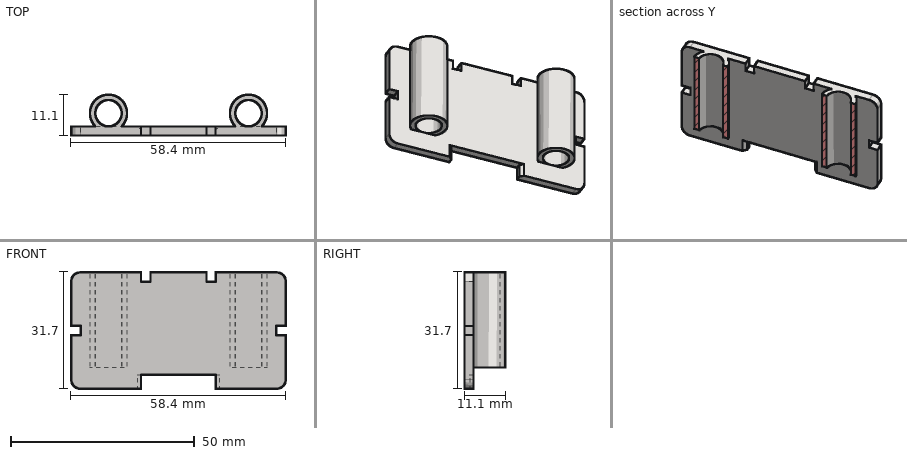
import cadquery as cq

plate_width = 58.4
plate_height = 31.7
plate_thickness = 2.5
corner_radius = 2.5

notch_width = 2.5
notch_depth = 2.55
top_notch_spacing = 17.75
bottom_cutout_width = top_notch_spacing + notch_width
bottom_cutout_depth = 3.8
cutout_chamfer = 1.0

tube_outer_diameter = 10.15
tube_bore_diameter = 7.1
tube_length = 25.95
tube_spacing = 38.1
tube_center_y = plate_thickness + tube_bore_diameter / 2

half_width = plate_width / 2
half_height = plate_height / 2


def edge_cutter(width, height, x, z):
    """Box through the plate thickness, centred at (x, z)."""
    return cq.Workplane("XY").box(width, plate_thickness, height).translate((x, plate_thickness / 2, z))


def make_cutout_relief(side):
    """45 degree bevel on the rear vertical edge of one side wall of the bottom cutout."""
    wall_x = side * bottom_cutout_width / 2
    return (
        cq.Workplane("XY", origin=(0, 0, -half_height))
        .moveTo(wall_x, plate_thickness - cutout_chamfer)
        .lineTo(wall_x + side * cutout_chamfer, plate_thickness)
        .lineTo(wall_x, plate_thickness)
        .close()
        .extrude(bottom_cutout_depth)
    )


def make_plate():
    plate = edge_cutter(plate_width, plate_height, 0, 0).edges("|Y").fillet(corner_radius)
    for side in (-1, 1):
        plate = plate.cut(edge_cutter(2 * notch_depth, notch_width, side * half_width, 0))
        plate = plate.cut(
            edge_cutter(notch_width, 2 * notch_depth, side * top_notch_spacing / 2, half_height)
        )
    plate = plate.cut(edge_cutter(bottom_cutout_width, 2 * bottom_cutout_depth, 0, -half_height))
    return plate.cut(make_cutout_relief(1)).cut(make_cutout_relief(-1))


def make_tube(x):
    """Vertical tube whose bore is tangent to the back of the plate."""
    return (
        cq.Workplane("XY", origin=(x, tube_center_y, half_height - tube_length))
        .circle(tube_outer_diameter / 2)
        .circle(tube_bore_diameter / 2)
        .extrude(tube_length)
    )


result = make_plate()
for side in (-1, 1):
    result = result.union(make_tube(side * tube_spacing / 2))